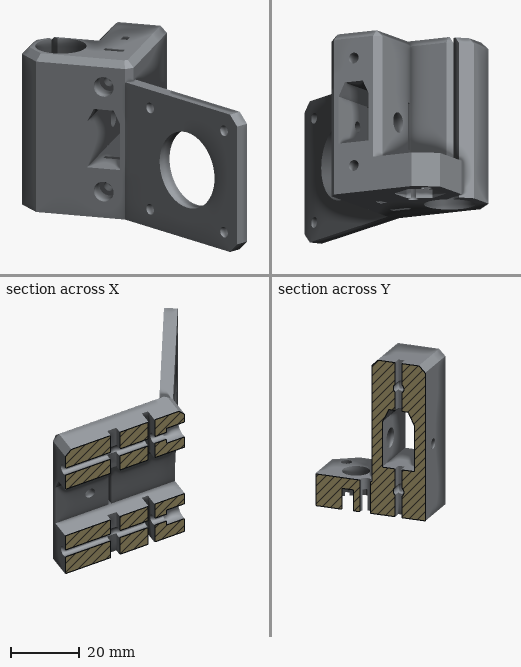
import cadquery as cq
import math


body_height = 48.0
rod_diameter = 15.0
clamp_reach = 10.5
clamp_back = 10.0
clamp_chamfer = 6.0
clamp_back_facet_x = 2.0
clamp_back_facet_y = 1.5
stem_left = rod_diameter / 2
stem_width = 17.0
stem_right = stem_left + stem_width
stem_back = 29.0
edge_chamfer = 2.0

pad_height = 10.0
pad_left = -10.2
pad_chamfer_x = 6.9
pad_chamfer_y = 4.5
nut_y = 18.0
nut_hole_diameter = 8.2
nut_corner_diameter = 15.0
nut_trap_depth = 6.5
nut_trap_angle = 30.0
nut_screw_dx = 5.5
nut_screw_dy = 6.0

slit_angle = 32.0
slit_width = 1.6
slit_pad_y = 11.4
slit_end_x = -2.0

screw_diameter = 3.2
head_diameter = 6.0
head_depth = 6.0

window_x = 16.0
window_width = 10.0
window_top_width = 6.0
window_bottom = 15.0
window_shoulder = 29.0
window_top = 33.0

front_screw_z = (8.0, 40.0)
front_nut_slot_width = 6.0
front_nut_slot_length = 2.0
front_nut_slot_y = 0.5
side_screw_y = 17.5
side_screw_z = 22.0
rear_slot_width = 2.0
rear_slot_length = 3.0
rear_slot_y = 12.5
side_slit_y = 11.0
side_slit_width = 1.0

plate_angle = 30.0
plate_length = 47.0
plate_height = 42.0
plate_thickness = 4.0
plate_corner_chamfer = 3.0
motor_offset = 21.0
motor_hole_diameter = 23.0
motor_screw_spacing = 31.0


def make_body():
    """Clamp and stem in one block, bevelled around the top."""
    facet_start_x = -clamp_reach + clamp_chamfer
    outline = [
        (-clamp_reach, -clamp_reach + clamp_chamfer),
        (-clamp_reach + clamp_chamfer, -clamp_reach),
        (stem_right - edge_chamfer, -clamp_reach),
        (stem_right, -clamp_reach + edge_chamfer),
        (stem_right, stem_back),
        (stem_left, stem_back),
        (stem_left, clamp_back),
        (facet_start_x, clamp_back),
        (facet_start_x - clamp_back_facet_x, clamp_back - clamp_back_facet_y),
        (-clamp_reach, clamp_reach - clamp_chamfer),
    ]
    body = cq.Workplane("XY").polyline(outline).close().extrude(body_height)
    body = body.faces(">Z").edges().chamfer(edge_chamfer)
    body = body.cut(rear_corner_cutter(stem_right, 45))
    return body.cut(rear_corner_cutter(stem_left, 135))


def rear_corner_cutter(corner_x, outward_angle):
    """Bevel one rear stem corner, ending in a three-sided facet at the top."""
    diagonal = edge_chamfer * math.sqrt(2)
    wall = -diagonal / 2
    half_width = 2 * edge_chamfer
    profile = [
        (-diagonal, body_height),
        (wall, body_height - edge_chamfer),
        (wall, 0),
        (diagonal, 0),
        (diagonal, body_height),
    ]
    cutter = cq.Workplane("XZ").polyline(profile).close().extrude(half_width, both=True)
    cutter = cutter.rotate((0, 0, 0), (0, 0, 1), outward_angle)
    return cutter.translate((corner_x, stem_back, 0))


def make_pad():
    """Chamfered pad that runs on into the stem."""
    outline = [
        (pad_left, 0),
        (pad_left, stem_back - pad_chamfer_y),
        (pad_left + pad_chamfer_x, stem_back),
        (window_x, stem_back),
        (window_x, 0),
    ]
    pad = cq.Workplane("XY").polyline(outline).close().extrude(pad_height)
    return pad.cut(pad_trim_cutter())


def nut_trap_cutter():
    """Hexagonal pocket in the underside of the pad."""
    hexagon = cq.Workplane("XY").polygon(6, nut_corner_diameter).extrude(nut_trap_depth)
    return hexagon.rotate((0, 0, 0), (0, 0, 1), nut_trap_angle).translate((0, nut_y, 0))


def slit_wall_y(x):
    """Y of the slit's rear wall at a given X."""
    return slit_pad_y - (x - pad_left) * math.tan(math.radians(slit_angle))


def pad_trim_cutter():
    """Everything on the rod side of the slit's rear wall."""
    outline = [
        (pad_left, slit_pad_y),
        (stem_left, slit_wall_y(stem_left)),
        (stem_left, -clamp_reach),
        (pad_left, -clamp_reach),
    ]
    return cq.Workplane("XY").polyline(outline).close().extrude(pad_height)


def slit_cutter():
    """Straight slanted cut from the left side of the clamp into the rod bore."""
    drop = slit_width / math.cos(math.radians(slit_angle))
    start_x = -clamp_reach
    outline = [
        (start_x, slit_wall_y(start_x)),
        (slit_end_x, slit_wall_y(slit_end_x)),
        (slit_end_x, slit_wall_y(slit_end_x) - drop),
        (start_x, slit_wall_y(start_x) - drop),
    ]
    return cq.Workplane("XY").polyline(outline).close().extrude(body_height)


def vertical_hole(x, y, diameter):
    return cq.Workplane("XY").center(x, y).circle(diameter / 2).extrude(body_height)


def vertical_slot(x, y, width, length):
    return cq.Workplane("XY").center(x, y).rect(width, length).extrude(body_height)


def screw_cutter(start, direction, length):
    """Clearance hole with a counterbore for the screw head at its start."""
    origin = cq.Vector(*start)
    axis = cq.Vector(*direction)
    hole = cq.Solid.makeCylinder(screw_diameter / 2, length, origin, axis)
    head = cq.Solid.makeCylinder(head_diameter / 2, head_depth, origin, axis)
    return cq.Workplane(hole.fuse(head))


def window_cutter():
    half = window_width / 2
    top_half = window_top_width / 2
    outline = [
        (window_x - half, window_bottom),
        (window_x + half, window_bottom),
        (window_x + half, window_shoulder),
        (window_x + top_half, window_top),
        (window_x - top_half, window_top),
        (window_x - half, window_shoulder),
    ]
    front = cq.Workplane("XZ", origin=(0, -clamp_reach, 0))
    return front.polyline(outline).close().extrude(-(stem_back + clamp_reach))


def side_slit_cutter():
    height = window_shoulder - window_bottom
    slit = cq.Workplane("XY").box(stem_width, side_slit_width, height)
    return slit.translate((stem_left + stem_width / 2, side_slit_y, window_bottom + height / 2))


def make_motor_plate():
    plate = cq.Workplane("XY").box(plate_length, plate_thickness, plate_height, centered=False)
    plate = plate.faces(">X").edges("|Y").chamfer(plate_corner_chamfer)
    motor_x = plate_length - motor_offset
    face = cq.Workplane("XZ", origin=(motor_x, 0, motor_offset))
    bore = face.circle(motor_hole_diameter / 2).extrude(-plate_thickness)
    screws = face.rect(motor_screw_spacing, motor_screw_spacing, forConstruction=True).vertices()
    screws = screws.circle(screw_diameter / 2).extrude(-plate_thickness)
    plate = plate.cut(bore).cut(screws)
    plate = plate.rotate((0, 0, 0), (0, 0, 1), -plate_angle)
    return plate.translate((stem_right - edge_chamfer, -clamp_reach, 0))


result = make_body().union(make_pad())

result = result.cut(vertical_hole(0, 0, rod_diameter))
result = result.cut(slit_cutter())

result = result.cut(vertical_hole(0, nut_y, nut_hole_diameter))
result = result.cut(nut_trap_cutter())
for side in (-1, 1):
    result = result.cut(vertical_hole(side * nut_screw_dx, nut_y - side * nut_screw_dy, screw_diameter))

result = result.cut(window_cutter())
result = result.cut(
    vertical_slot(window_x, front_nut_slot_y, front_nut_slot_width, front_nut_slot_length)
)
result = result.cut(vertical_slot(window_x, rear_slot_y, rear_slot_width, rear_slot_length))
result = result.cut(side_slit_cutter())

for z in front_screw_z:
    start = (window_x, -clamp_reach, z)
    result = result.cut(screw_cutter(start, (0, 1, 0), stem_back + clamp_reach))
side_start = (stem_left, side_screw_y, side_screw_z)
result = result.cut(screw_cutter(side_start, (1, 0, 0), stem_width))

result = result.union(make_motor_plate())